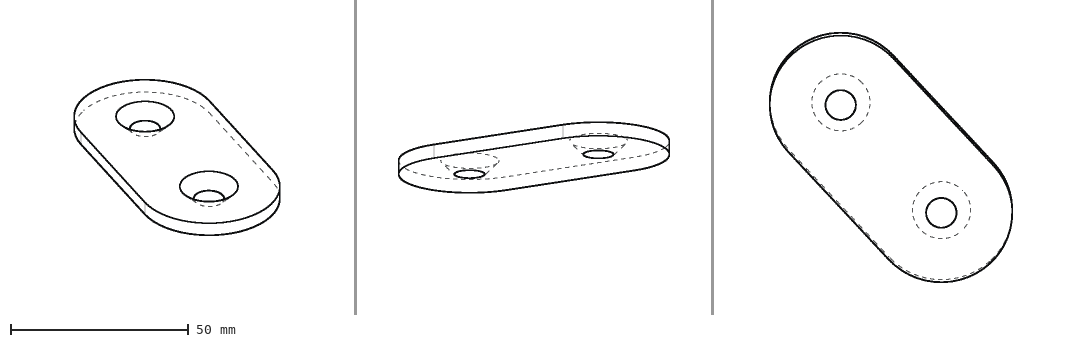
import cadquery as cq

hole_spacing = 42.0
plate_width = 40.0
plate_thickness = 4.0
plate_length = hole_spacing + plate_width

hole_diameter = 8.5
countersink_diameter = 16.4
countersink_angle = 90.0


def make_plate():
    """Flat plate with full-round ends, resting on Z = 0."""
    return cq.Workplane("XY").slot2D(plate_length, plate_width).extrude(plate_thickness)


def cut_screw_holes(plate):
    """Cut the two through holes, countersunk from the top face."""
    hole_centers = [(-hole_spacing / 2, 0), (hole_spacing / 2, 0)]
    return (
        plate.faces(">Z")
        .workplane(origin=(0, 0, plate_thickness))
        .pushPoints(hole_centers)
        .cskHole(hole_diameter, countersink_diameter, countersink_angle)
    )


result = cut_screw_holes(make_plate())